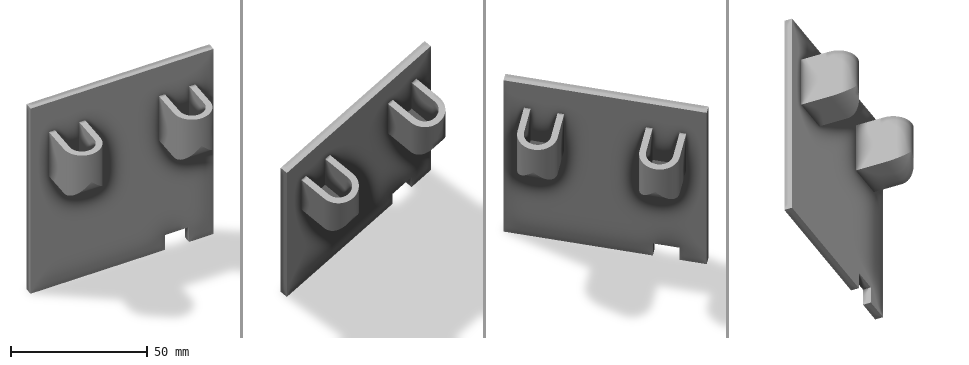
import cadquery as cq

plate_thickness = 3.2
plate_width = 76.2
plate_height = 85.7

total_depth = 22.3
cup_width = 15.1
cup_height = 20.4
cup_top_drop = 13.6
cup_wall = 2.5
cup_offset = 22.9

notch_width = 10.0
notch_height = 6.9

cup_radius = cup_width / 2
cup_arc_center_x = total_depth - cup_radius
cup_top = plate_height - cup_top_drop
cup_bottom = cup_top - cup_height


def u_prism(center_y, radius, bottom, height):
    """Upright prism from the plate face, ending in a half cylinder."""
    return (
        cq.Workplane("XY", origin=(0, center_y, bottom))
        .moveTo(plate_thickness, -radius)
        .lineTo(cup_arc_center_x, -radius)
        .threePointArc((cup_arc_center_x + radius, 0), (cup_arc_center_x, radius))
        .lineTo(plate_thickness, radius)
        .close()
        .extrude(height)
    )


def rounded_toe_envelope(center_y):
    """Block across the cup whose lower outer edge is rounded in the XZ plane."""
    return (
        cq.Workplane("XY")
        .box(total_depth, cup_width, cup_height, centered=(False, True, False))
        .edges(">X and <Z")
        .fillet(cup_radius)
        .translate((0, center_y, cup_bottom))
    )


def cup(center_y):
    """Hollow cup with a closed floor and a rounded toe."""
    outside = u_prism(center_y, cup_radius, cup_bottom, cup_height)
    pocket = u_prism(
        center_y, cup_radius - cup_wall, cup_bottom + cup_wall, cup_height - cup_wall
    )
    return outside.intersect(rounded_toe_envelope(center_y)).cut(pocket)


plate = cq.Workplane("XY").box(
    plate_thickness, plate_width, plate_height, centered=(False, True, False)
)
notch = (
    cq.Workplane("XY")
    .box(plate_thickness, notch_width, notch_height, centered=(False, True, False))
    .translate((0, cup_offset, 0))
)

result = plate.cut(notch)
for center_y in (-cup_offset, cup_offset):
    result = result.union(cup(center_y))